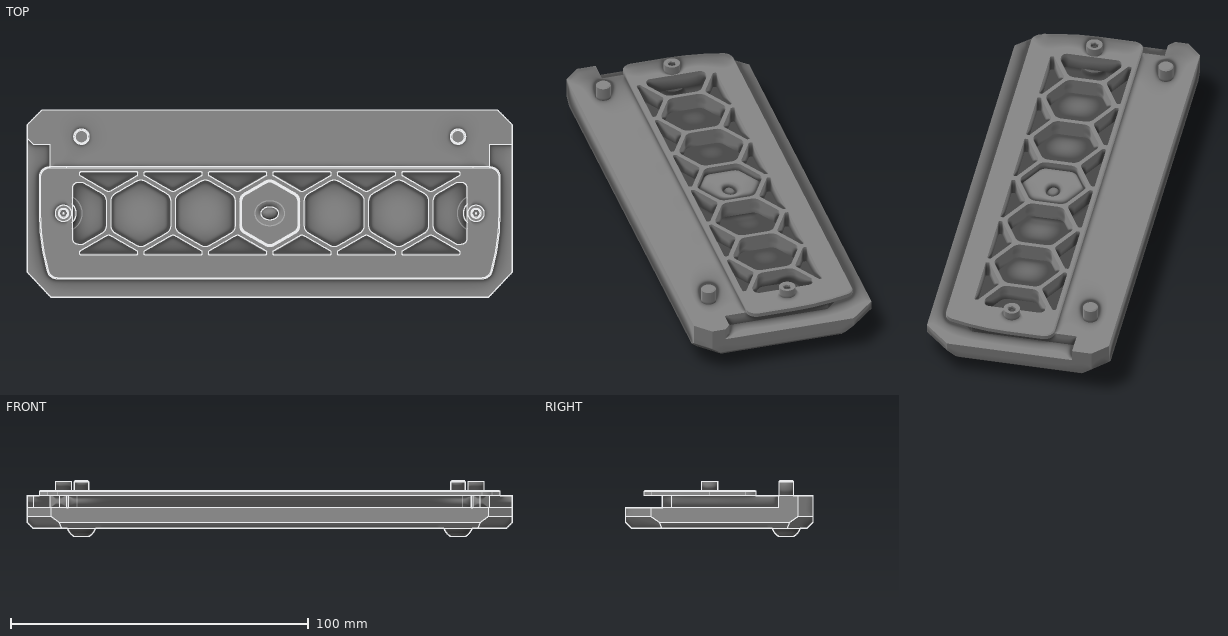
import cadquery as cq
import math

plate_length = 163.0
plate_width = 63.0
ledge_z = 7.0
plate_top_z = 11.0
front_corner_x = 8.0
front_corner_y = 8.5
back_corner = 5.0
side_bevel = 2.0
corner_bevel = 4.0
half_length = plate_length / 2
half_width = plate_width / 2

back_band_front_y = 19.9
band_end_chamfer = 2.1
ear_outer_x = 73.75
ear_front_y = -19.2
ear_chamfer = 3.2

grid_center_y = -3.25
hex_circumradius = 12.5
hex_pitch = math.sqrt(3) * hex_circumradius
rib = 1.5
full_cells_each_side = 2
half_cells_each_side = 3
cell_corner_radius = 3.0
web_gap = 2.1
web_corner_radius = 0.5
web_apex_radius = 1.5
half_cell_corner_radius = 2.0
half_cell_half_span = 10.4

grid_half_length = 66.3
grid_half_width = 14.0
box_wall = 1.4
box_corner_radius = 3.0
flange_thickness = 1.75
flange_half_length = 77.4
flange_front_y = -25.3
flange_taper_radius = 72.0
flange_corner_radius = 3.5
flange_edge_chamfer = 0.4
flange_back_overhang = 0.25
panel_top_z = plate_top_z + flange_thickness
box_half_length = grid_half_length + box_wall
box_half_width = grid_half_width + box_wall
panel_back_y = grid_center_y + box_half_width + flange_back_overhang
box_clearance = 0.5

pocket_floor_z = 4.0
pocket_fillet = 2.0
pocket_floor_inset = 0.25
post_gap = 0.3
post_top_z = 10.5
post_chamfer = 0.3
boss_radius = 4.25
post_hole_length = 5.9
post_hole_width = 4.4
post_hole_bottom_z = 5.3
post_hole_lip_radius = 2.0

bolt_x = 63.25
bolt_y = 22.5
bolt_diameter = 5.0
bolt_hole_diameter = 5.2
bolt_tip_diameter = 4.2
bolt_length = 16.0
button_diameter = 9.5
button_flat_diameter = 5.0
button_height = 2.75

screw_x = 69.3
screw_diameter = 3.0
screw_hole_diameter = 3.4
screw_length = 8.0
screw_head_diameter = 5.5
screw_head_height = 3.0
screw_socket_corners = 2.9
screw_socket_depth = 1.5
screw_socket_rim = 3.4
screw_tip_z = panel_top_z - screw_length

SIDES = (-1, 1)


def prism(points, bottom_z, top_z):
    return cq.Workplane("XY").workplane(offset=bottom_z).polyline(points).close().extrude(top_z - bottom_z)


def cylinder(x, y, diameter, bottom_z, top_z):
    base = cq.Workplane("XY").workplane(offset=bottom_z).center(x, y)
    return base.circle(diameter / 2).extrude(top_z - bottom_z)


def block(half_x, half_y, bottom_z, top_z):
    base = cq.Workplane("XY").workplane(offset=bottom_z).center(0, grid_center_y)
    return base.rect(2 * half_x, 2 * half_y).extrude(top_z - bottom_z)


def hexagon(x, flat_to_flat, bottom_z, top_z):
    """Hexagonal prism with rounded corners, two flats facing along X."""
    circumradius = flat_to_flat / math.sqrt(3)
    corners = []
    for i in range(6):
        angle = math.radians(30 + 60 * i)
        corners.append((x + circumradius * math.cos(angle), grid_center_y + circumradius * math.sin(angle)))
    return prism(corners, bottom_z, top_z).edges("|Z").fillet(cell_corner_radius)


def bevel_cutter(start, end, size):
    """Wedge that bevels the bottom edge from start to end at 45 degrees (outline runs counterclockwise)."""
    dx = end[0] - start[0]
    dy = end[1] - start[1]
    edge_length = math.hypot(dx, dy)
    plane = cq.Plane(origin=(start[0], start[1], 0), xDir=(-dy, dx, 0), normal=(dx, dy, 0))
    wedge = [(-size, -size), (2 * size, -size), (-size, 2 * size)]
    overrun = 2 * size
    profile = cq.Workplane(plane).workplane(offset=-overrun).polyline(wedge).close()
    return profile.extrude(edge_length + 2 * overrun)


def plate_base():
    outline = [
        (-half_length + front_corner_x, -half_width),
        (half_length - front_corner_x, -half_width),
        (half_length, -half_width + front_corner_y),
        (half_length, half_width - back_corner),
        (half_length - back_corner, half_width),
        (-half_length + back_corner, half_width),
        (-half_length, half_width - back_corner),
        (-half_length, -half_width + front_corner_y),
    ]
    base = prism(outline, 0, plate_top_z)
    for i, start in enumerate(outline):
        end = outline[(i + 1) % len(outline)]
        is_corner = i % 2 == 1
        base = base.cut(bevel_cutter(start, end, corner_bevel if is_corner else side_bevel))
    return base


def raised_outline():
    """Full-height area: the back band and the two ears beside the panel box."""
    chamfer_start_y = ear_front_y + ear_chamfer
    chamfer_end_x = ear_outer_x - ear_chamfer
    return [
        (-half_length, half_width),
        (-half_length, back_band_front_y + band_end_chamfer),
        (-half_length + band_end_chamfer, back_band_front_y),
        (-ear_outer_x, back_band_front_y),
        (-ear_outer_x, chamfer_start_y),
        (-chamfer_end_x, ear_front_y),
        (chamfer_end_x, ear_front_y),
        (ear_outer_x, chamfer_start_y),
        (ear_outer_x, back_band_front_y),
        (half_length, back_band_front_y),
        (half_length, half_width),
    ]


def box_recess():
    """Opening for the panel box, open toward the front, its back wall flush with the flange."""
    half_x = box_half_length + box_clearance
    corners = [
        (-half_x, -half_width),
        (half_x, -half_width),
        (half_x, panel_back_y),
        (-half_x, panel_back_y),
    ]
    return prism(corners, ledge_z, plate_top_z)


def center_post(bottom_z, top_z):
    return hexagon(0, hex_pitch - rib - 2 * post_gap, bottom_z, top_z)


def floor_pocket():
    """Pocket below the grid, leaving the center post and the screw bosses, all with filleted feet."""
    half_x = grid_half_length - pocket_floor_inset + pocket_fillet
    half_y = grid_half_width - pocket_floor_inset + pocket_fillet
    pocket = block(half_x, half_y, pocket_floor_z, ledge_z).cut(center_post(pocket_floor_z, ledge_z))
    for side in SIDES:
        pocket = pocket.cut(cylinder(side * screw_x, grid_center_y, 2 * boss_radius, pocket_floor_z, ledge_z))
    return pocket.faces("<Z").edges().fillet(pocket_fillet)


def post_hole():
    """Oval blind hole in the center post with a rounded bottom."""
    half_long = post_hole_length / 2
    half_short = post_hole_width / 2
    top = cq.Workplane("XY").workplane(offset=post_top_z).center(0, grid_center_y)
    shaft = top.ellipse(half_long, half_short).extrude(post_hole_bottom_z + half_short - post_top_z)
    half_oval = cq.Workplane("XY").moveTo(half_long, 0).ellipseArc(
        half_long, half_short, 0, 180, startAtCurrent=True
    )
    bottom = half_oval.close().revolve(360, (0, 0, 0), (1, 0, 0))
    return shaft.union(bottom.translate((0, grid_center_y, post_hole_bottom_z + half_short)))


def post_top():
    """Upper part of the center post, with a chamfered rim and a rounded lip around its hole."""
    post = center_post(ledge_z, post_top_z).faces(">Z").chamfer(post_chamfer).cut(post_hole())
    hole_reach = post_hole_length / 2 + post_chamfer
    hole_rim = cq.selectors.BoxSelector(
        (-hole_reach, grid_center_y - hole_reach, post_top_z - post_chamfer / 2),
        (hole_reach, grid_center_y + hole_reach, post_top_z + post_chamfer / 2),
    )
    return post.edges(hole_rim).fillet(post_hole_lip_radius)


def make_plate():
    raised = prism(raised_outline(), ledge_z, plate_top_z).cut(box_recess())
    lower = cq.Workplane("XY").box(2 * half_length, 2 * half_width, ledge_z, centered=(True, True, False))
    plate = plate_base().intersect(lower.union(raised))
    plate = plate.cut(floor_pocket())
    plate = plate.union(post_top()).cut(post_hole())
    for side in SIDES:
        plate = plate.cut(cylinder(side * bolt_x, bolt_y, bolt_hole_diameter, 0, plate_top_z))
        plate = plate.cut(cylinder(side * screw_x, grid_center_y, screw_diameter, screw_tip_z, plate_top_z))
    return plate


def taper_point(y, side):
    """Point on the arc along which an end of the flange narrows, tangent to its straight part."""
    run = grid_center_y - y
    inset = flange_taper_radius - math.sqrt(flange_taper_radius**2 - run**2)
    return side * (flange_half_length - inset), y


def panel_flange():
    taper_middle_y = (grid_center_y + flange_front_y) / 2
    outline = (
        cq.Workplane("XY")
        .workplane(offset=plate_top_z)
        .moveTo(-flange_half_length, panel_back_y)
        .lineTo(flange_half_length, panel_back_y)
        .lineTo(flange_half_length, grid_center_y)
        .threePointArc(taper_point(taper_middle_y, 1), taper_point(flange_front_y, 1))
        .lineTo(*taper_point(flange_front_y, -1))
        .threePointArc(taper_point(taper_middle_y, -1), (-flange_half_length, grid_center_y))
        .close()
    )
    flange = outline.extrude(flange_thickness)
    flange = flange.edges("|Z").edges("<Y or >Y").fillet(flange_corner_radius)
    return flange.faces(">Z").edges().chamfer(flange_edge_chamfer)


def full_cell(x):
    return hexagon(x, hex_pitch - rib, ledge_z, panel_top_z)


def end_cell(side):
    """Half of a hexagonal cell, cut off by the end wall of the box."""
    flats = hex_pitch - rib
    circumradius = flats / math.sqrt(3)
    center_x = half_cells_each_side * hex_pitch
    inner_x = center_x - flats / 2
    slope_end_x = center_x - math.sqrt(3) * (circumradius - half_cell_half_span)
    points = []
    for x, y in (
        (inner_x, -circumradius / 2),
        (slope_end_x, -half_cell_half_span),
        (grid_half_length, -half_cell_half_span),
        (grid_half_length, half_cell_half_span),
        (slope_end_x, half_cell_half_span),
        (inner_x, circumradius / 2),
    ):
        points.append((side * x, grid_center_y + y))
    wall_edges = ">X" if side > 0 else "<X"
    inner_edges = "<X" if side > 0 else ">X"
    cell = prism(points, ledge_z, panel_top_z)
    cell = cell.edges("|Z").edges(wall_edges).fillet(half_cell_corner_radius)
    return cell.edges("|Z").edges(inner_edges).fillet(cell_corner_radius)


def web_opening(x, side):
    """Triangular opening between two neighboring cells and the long wall of the box."""
    half_width_x = (hex_pitch - web_gap) / 2
    apex = hex_circumradius / 2 + rib / math.sqrt(3)
    blunt_end = apex + half_width_x / math.sqrt(3)
    points = [
        (x - half_width_x, grid_center_y + side * grid_half_width),
        (x - half_width_x, grid_center_y + side * blunt_end),
        (x, grid_center_y + side * apex),
        (x + half_width_x, grid_center_y + side * blunt_end),
        (x + half_width_x, grid_center_y + side * grid_half_width),
    ]
    opening = prism(points, ledge_z, panel_top_z)
    apex_edge = "<Y" if side > 0 else ">Y"
    opening = opening.edges("|Z").edges(apex_edge).fillet(web_apex_radius)
    return opening.edges("|Z and (<X or >X)").fillet(web_corner_radius)


def make_panel():
    box = block(box_half_length, box_half_width, ledge_z, plate_top_z).edges("|Z").fillet(box_corner_radius)
    panel = panel_flange().union(box)
    for i in range(-full_cells_each_side, full_cells_each_side + 1):
        panel = panel.cut(full_cell(i * hex_pitch))
    for i in range(-half_cells_each_side, half_cells_each_side):
        for side in SIDES:
            panel = panel.cut(web_opening((i + 0.5) * hex_pitch, side))
    for side in SIDES:
        panel = panel.cut(end_cell(side))
        panel = panel.cut(cylinder(side * screw_x, grid_center_y, screw_hole_diameter, ledge_z, panel_top_z))
    return panel


def make_bolt(x):
    """Button-head bolt pointing up, with a domed head under the plate."""
    rim = button_diameter / 2
    flat = button_flat_diameter / 2
    dome_center_z = (rim**2 - flat**2 - button_height**2) / (2 * button_height)
    dome_radius = math.hypot(rim, dome_center_z)
    mid_z = -button_height / 2
    mid_radius = math.sqrt(dome_radius**2 - (dome_center_z - mid_z) ** 2)
    tip_chamfer = (bolt_diameter - bolt_tip_diameter) / 2
    profile = (
        cq.Workplane("XZ")
        .moveTo(0, -button_height)
        .lineTo(flat, -button_height)
        .threePointArc((mid_radius, mid_z), (rim, 0))
        .lineTo(bolt_diameter / 2, 0)
        .lineTo(bolt_diameter / 2, bolt_length - tip_chamfer)
        .lineTo(bolt_tip_diameter / 2, bolt_length)
        .lineTo(0, bolt_length)
        .close()
    )
    return profile.revolve(360, (0, 0, 0), (0, 1, 0)).translate((x, bolt_y, 0))


def make_screw(x):
    """Socket-head screw pointing down, its head on the panel."""
    head_top_z = panel_top_z + screw_head_height
    screw = cylinder(x, grid_center_y, screw_diameter, screw_tip_z, panel_top_z)
    screw = screw.union(cylinder(x, grid_center_y, screw_head_diameter, panel_top_z, head_top_z))
    top = cq.Workplane("XY").workplane(offset=head_top_z).center(x, grid_center_y)
    screw = screw.cut(top.polygon(6, screw_socket_corners).extrude(-screw_socket_depth))
    return screw.cut(top.circle(screw_socket_rim / 2).extrude(-screw_socket_rim / 2, taper=45))


plate = make_plate()
panel = make_panel()
bolts = [make_bolt(side * bolt_x) for side in SIDES]
screws = [make_screw(side * screw_x) for side in SIDES]

bodies = [plate, panel, *bolts, *screws]
result = cq.Compound.makeCompound([body.solids().val() for body in bodies])